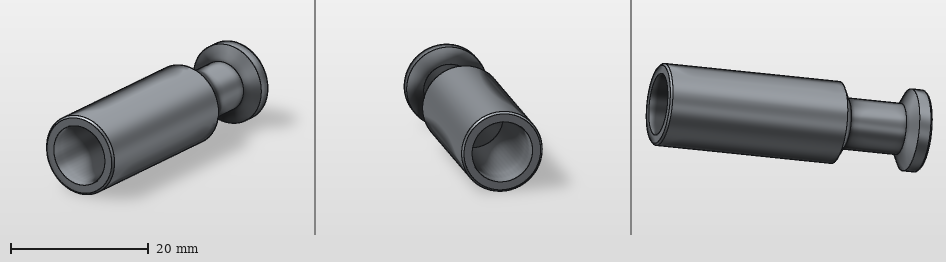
import cadquery as cq
import math

outer_diameter = 12.0
total_length = 40.0
end_chamfer = 0.3

body_length = 27.0
neck_diameter = 7.5
head_rim_length = 2.0
shoulder_angle = 30.0

bore_diameter = 9.0
bore_depth = 20.0
drill_point_angle = 140.0

outer_radius = outer_diameter / 2
neck_radius = neck_diameter / 2
bore_radius = bore_diameter / 2
shoulder_length = (outer_radius - neck_radius) * math.tan(math.radians(shoulder_angle))
drill_point_length = bore_radius / math.tan(math.radians(drill_point_angle / 2))

open_end = 0.0
head_end = open_end + total_length
body_end = open_end + body_length
neck_start = body_end + shoulder_length
head_rim_start = head_end - head_rim_length
neck_end = head_rim_start - shoulder_length
bore_bottom = open_end + bore_depth


def revolve_about_y(profile):
    """Spin a closed (radius, y) profile a full turn about the Y axis."""
    return cq.Workplane("XY").polyline(profile).close().revolve(360, (0, 0, 0), (0, 1, 0))


def make_pin():
    return revolve_about_y([
        (0, open_end),
        (outer_radius - end_chamfer, open_end),
        (outer_radius, open_end + end_chamfer),
        (outer_radius, body_end),
        (neck_radius, neck_start),
        (neck_radius, neck_end),
        (outer_radius, head_rim_start),
        (outer_radius, head_end - end_chamfer),
        (outer_radius - end_chamfer, head_end),
        (0, head_end),
    ])


def make_bore():
    return revolve_about_y([
        (0, open_end),
        (bore_radius, open_end),
        (bore_radius, bore_bottom),
        (0, bore_bottom + drill_point_length),
    ])


result = make_pin().cut(make_bore())